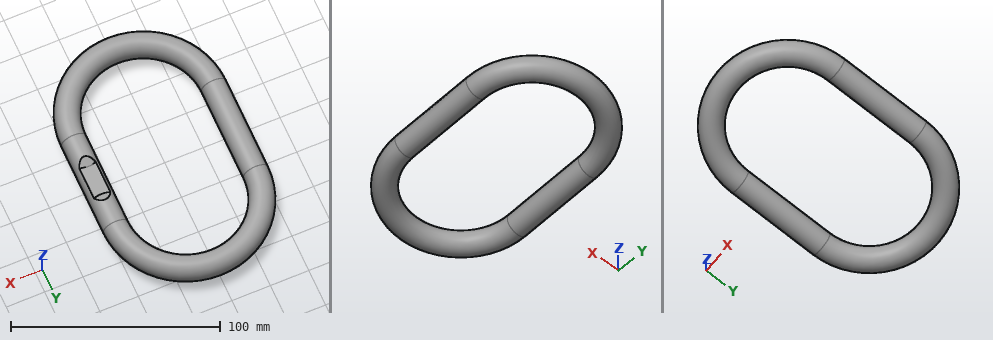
import cadquery as cq
import math

length = 136.0
width = 86.0
wire_diameter = 13.0
flat_width = 8.5
recess_end = 12.5
floor_end_back = 8.5
floor_end_front = 7.6
floor_end_radius = 13.6

wire_radius = wire_diameter / 2
bend_radius = (width - wire_diameter) / 2
half_straight = (length - width) / 2
floor_z = math.sqrt(wire_radius**2 - (flat_width / 2) ** 2)
recess_depth = wire_radius - floor_z


def make_link():
    """Round wire swept around a closed oval."""
    path = (
        cq.Workplane("XY")
        .moveTo(bend_radius, -half_straight)
        .lineTo(bend_radius, half_straight)
        .threePointArc((0, half_straight + bend_radius), (-bend_radius, half_straight))
        .lineTo(-bend_radius, -half_straight)
        .threePointArc((0, -half_straight - bend_radius), (bend_radius, -half_straight))
        .close()
    )
    section = cq.Workplane("XZ", origin=(bend_radius, -half_straight, 0)).circle(wire_radius)
    return section.sweep(path)


def ramp_cone(floor_end, direction):
    """Cone whose flank forms the sloping end wall of the recess."""
    top_radius = floor_end_radius - (recess_end - floor_end)
    center_y = direction * (floor_end + floor_end_radius)
    return cq.Workplane(
        cq.Solid.makeCone(
            floor_end_radius, top_radius, recess_depth,
            pnt=cq.Vector(bend_radius, center_y, floor_z),
        )
    )


def make_recess_cutter():
    """Block above the flat floor, bounded at both ends by the ramp cones."""
    block = (
        cq.Workplane("XY", origin=(bend_radius, 0, floor_z))
        .rect(wire_diameter, 2 * recess_end)
        .extrude(recess_depth)
    )
    return block.cut(ramp_cone(floor_end_back, 1)).cut(ramp_cone(floor_end_front, -1))


result = make_link().cut(make_recess_cutter())